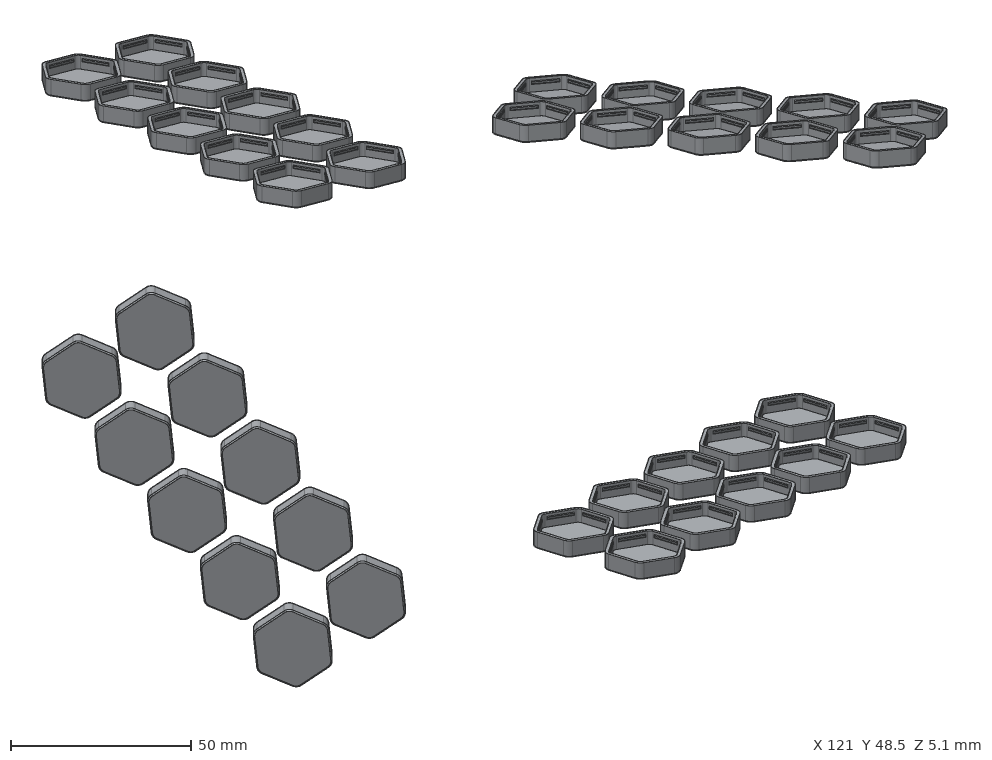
import cadquery as cq
import math

columns = 5
rows = 2
overall_length = 121.0
gap = 4.0
across_flats = (overall_length - (columns - 1) * gap) / columns
pitch = across_flats + gap

tray_height = 5.1
wall = 1.0
floor = 1.0
corner_radius = 2.5
bottom_chamfer = 0.39

sides = 6
ridge_length = 8.1
ridge_height = 1.0
ridge_crest = 0.5
ridge_depth = 0.19
ridge_drop = 0.8
ridge_root = 0.1


def hexagonal_prism(flats, radius, base, height):
    """Upright prism with rounded corners and two flat sides facing +X and -X."""
    corner_diameter = flats / math.cos(math.pi / sides)
    return (
        cq.Workplane("XY", origin=(0, 0, base))
        .transformed(rotate=(0, 0, 180 / sides))
        .polygon(sides, corner_diameter)
        .extrude(height)
        .edges("|Z")
        .fillet(radius)
    )


def snap_ridge():
    """Trapezoidal ridge along the middle of the inner wall on the +X side."""
    wall_face = across_flats / 2 - wall
    root_face = wall_face + ridge_root
    crest_face = wall_face - ridge_depth
    top = tray_height - ridge_drop
    bottom = top - ridge_height
    bevel = (ridge_height - ridge_crest) / 2
    return (
        cq.Workplane("XZ")
        .moveTo(root_face, top)
        .lineTo(wall_face, top)
        .lineTo(crest_face, top - bevel)
        .lineTo(crest_face, bottom + bevel)
        .lineTo(wall_face, bottom)
        .lineTo(root_face, bottom)
        .close()
        .extrude(ridge_length / 2, both=True)
    )


def make_tray():
    """Open hexagonal tray with a chamfered base and ridges inside the rim."""
    body = hexagonal_prism(across_flats, corner_radius, 0, tray_height)
    body = body.faces("<Z").chamfer(bottom_chamfer)
    cavity = hexagonal_prism(
        across_flats - 2 * wall, corner_radius - wall, floor, tray_height - floor
    )
    tray = body.cut(cavity)
    ridge = snap_ridge()
    for side in range(sides):
        tray = tray.union(ridge.rotate((0, 0, 0), (0, 0, 1), side * 360 / sides))
    return tray


tray = make_tray()
trays = []
for row in range(rows):
    for column in range(columns):
        trays.append(tray.translate((column * pitch, row * pitch, 0)).val())

result = cq.Compound.makeCompound(trays)